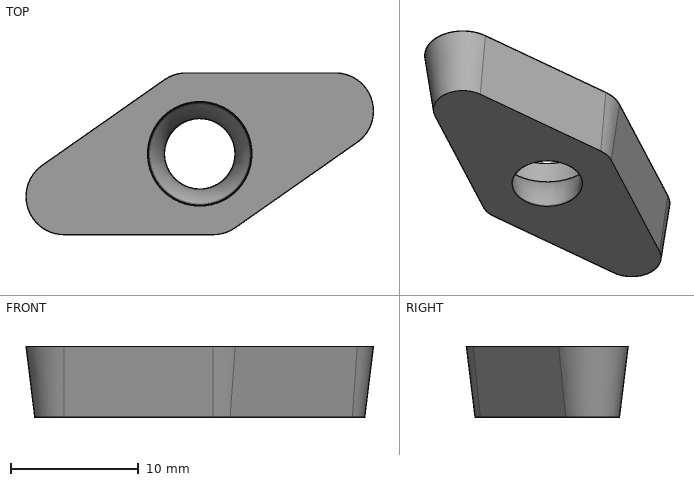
import cadquery as cq
import math

length = 27.25
width = 12.7
thickness = 5.55
corner_radius = 3.0
nose_angle = 35.0
clearance_angle = 7.0

throat_diameter = 5.5
mouth_diameter = 8.2
mouth_floor_diameter = 8.04
flare_diameter = 7.87
mouth_depth = 1.95
bevel_height = 0.1
flare_radius = 5.45

throat_radius = throat_diameter / 2
mouth_radius = mouth_diameter / 2
mouth_floor_radius = mouth_floor_diameter / 2
flare_top_radius = flare_diameter / 2


def make_body():
    """Rounded rhombus, widest at the top face, narrowing downward."""
    nose_x = length / 2 - corner_radius
    corner_y = width / 2 - corner_radius
    side_run = 2 * corner_y / math.tan(math.radians(nose_angle))
    blunt_x = nose_x - side_run

    centres = [
        (-nose_x, -corner_y),
        (blunt_x, -corner_y),
        (nose_x, corner_y),
        (-blunt_x, corner_y),
    ]
    return (
        cq.Workplane("XY")
        .workplane(offset=thickness)
        .polyline(centres)
        .close()
        .offset2D(corner_radius, "arc")
        .extrude(-thickness, taper=clearance_angle)
    )


def make_hole():
    """Revolved cutter whose convex flare runs tangent into the throat."""
    bevel_top_z = thickness - mouth_depth
    flare_top_z = bevel_top_z - bevel_height
    flare_angle = math.acos(1 - (flare_top_radius - throat_radius) / flare_radius)
    throat_z = flare_top_z - flare_radius * math.sin(flare_angle)
    flare_middle = (
        throat_radius + flare_radius * (1 - math.cos(flare_angle / 2)),
        throat_z + flare_radius * math.sin(flare_angle / 2),
    )
    return (
        cq.Workplane("XZ")
        .lineTo(throat_radius, 0)
        .lineTo(throat_radius, throat_z)
        .threePointArc(flare_middle, (flare_top_radius, flare_top_z))
        .lineTo(mouth_floor_radius, bevel_top_z)
        .lineTo(mouth_radius, thickness)
        .lineTo(0, thickness)
        .close()
        .revolve(360, (0, 0, 0), (0, 1, 0))
    )


result = make_body().cut(make_hole())